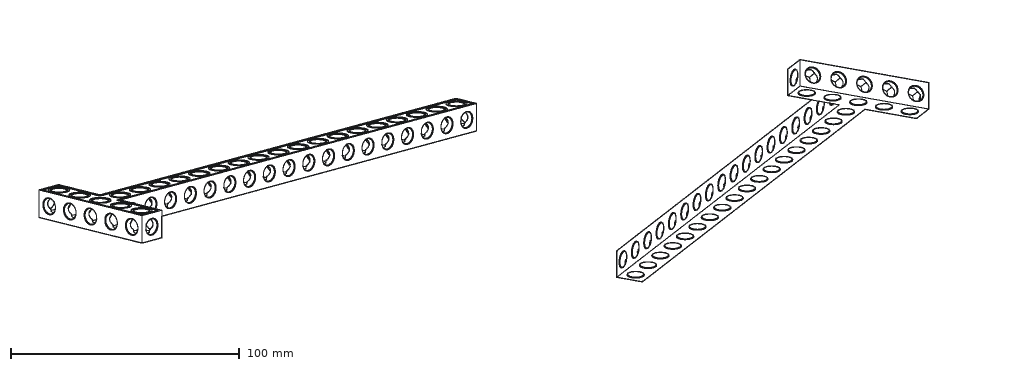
import cadquery as cq

length = 237.5
holes_along_stem = 19
holes_along_bar = 5

mouth_diameter = 7.5
mouth_chamfer = 0.3
chamfer_angle = 45
bore_diameter = mouth_diameter - 2 * mouth_chamfer

rim_width = 1.12
recess_depth = 0.2
ring_diameter = 9.3

sideways_hole_drift = 0.5

pitch = length / holes_along_stem
half_width = pitch / 2
bar_width = holes_along_bar * pitch
stem_end = length - half_width
holes_beyond_bar = holes_along_stem - 1

bar_places = [(i - (holes_along_bar - 1) / 2) * pitch for i in range(holes_along_bar)]
stem_places = [i * pitch for i in range(1, holes_along_stem)]
sideways_pitch = pitch - sideways_hole_drift / (holes_beyond_bar - 1)
sideways_places = [stem_places[-1] - i * sideways_pitch for i in range(holes_beyond_bar)]
vertical_places = [(x, 0) for x in bar_places] + [(0, y) for y in stem_places]


def tee(inset, bottom, top):
    """T-shaped plate between two heights, with its outline moved inwards by inset."""
    height = top - bottom
    width = pitch - 2 * inset
    bar = cq.Workplane("XY").box(bar_width - 2 * inset, width, height)
    stem = cq.Workplane("XY").box(width, length - 2 * inset, height)
    stem = stem.translate((0, length / 2 - half_width, 0))
    return bar.union(stem).translate((0, 0, (bottom + top) / 2))


def cylinders(plane, places, diameter, start, end, taper=0):
    """Equal cylinders, or cones narrowing towards the end, between two distances along the plane's normal."""
    base = cq.Workplane(plane).workplane(offset=start).pushPoints(places)
    return base.circle(diameter / 2).extrude(end - start, taper=taper)


def drill(body, plane, places, start, end):
    """Through holes with a chamfered mouth at both ends."""
    body = body.cut(cylinders(plane, places, bore_diameter, start, end))
    for face, inside in ((start, start + mouth_chamfer), (end, end - mouth_chamfer)):
        body = body.cut(cylinders(plane, places, mouth_diameter, face, inside, chamfer_angle))
    return body


beam = tee(0, -half_width, half_width)
floor = half_width - recess_depth
recess = tee(rim_width, floor, half_width)
recess = recess.cut(cylinders("XY", vertical_places, ring_diameter, floor, half_width))
beam = beam.cut(recess)

beam = drill(beam, "XY", vertical_places, -half_width, half_width)

beam = drill(beam, "YZ", [(0, 0)], -bar_width / 2, bar_width / 2)
beam = drill(beam, "YZ", [(y, 0) for y in sideways_places], -half_width, half_width)

beam = drill(beam, "XZ", [(0, 0)], -stem_end, half_width)
beam = drill(beam, "XZ", [(x, 0) for x in bar_places if x != 0], -half_width, half_width)

result = beam